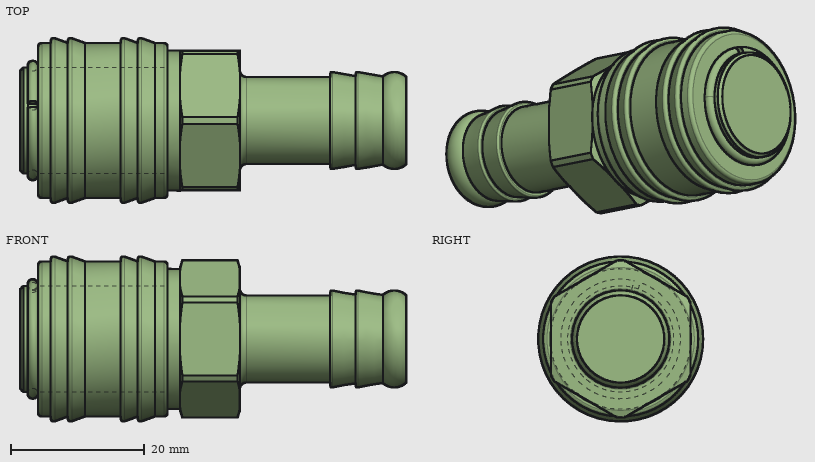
import cadquery as cq
import math


total_length = 58.0
sleeve_front = 2.65
sleeve_rear = 22.15
hex_front = 24.0
hex_rear = 33.0

nose_diameter = 15.95
nose_face_diameter = 14.95
nose_chamfer_length = 0.45
collar_diameter = 21.1
hex_across_flats = 21.0
hex_corner_diameter = 23.65
hex_face_diameter = 21.45
hex_chamfer_length = 0.35
shank_diameter = 13.1
shank_fillet = 1.0

barb_diameter = 14.6
barb_crest_radius = 0.3
barb_slope = math.radians(10)
barb_starts = (46.6, 50.4)
bead_start = 54.4
bead_middle = (bead_start + total_length) / 2

sleeve_diameter = 23.3
sleeve_edge_fillet = 0.6
rib_diameter = 24.8
rib_crest_radius = 0.45
rib_slope = math.radians(20)
rib_pitch = 2.55
rib_pair_starts = (4.6, 15.1)

ring_outer_diameter = 18.0
ring_wire_diameter = 1.55
ring_gap = 0.9
ring_gap_angle = 16.0
ring_radius = (ring_outer_diameter - ring_wire_diameter) / 2
ring_position = sleeve_front - ring_wire_diameter / 2


def revolve_about_x(profile):
    """Close an XY profile (X along the axis, Y radial) and turn it round the X axis."""
    return profile.close().revolve(360, (0, 0, 0), (1, 0, 0))


def make_cylinder(diameter, start, end):
    return cq.Workplane("YZ", origin=(start, 0, 0)).circle(diameter / 2).extrude(end - start)


def make_ring_torus():
    return (
        cq.Workplane("XY")
        .center(ring_position, ring_radius)
        .circle(ring_wire_diameter / 2)
        .revolve(360, (0, -ring_radius, 0), (1, -ring_radius, 0))
    )


def make_rib(start, inner_diameter, base_diameter, outer_diameter, crest_radius, slope):
    """Ring with a steep front, a rounded crest and a cone that falls back to the base diameter."""
    inner_radius = inner_diameter / 2
    base_radius = base_diameter / 2
    crest_center_x = start + crest_radius
    crest_center_radius = outer_diameter / 2 - crest_radius
    cone_start_x = crest_center_x + crest_radius * math.sin(slope)
    cone_start_radius = crest_center_radius + crest_radius * math.cos(slope)
    cone_end_x = cone_start_x + (cone_start_radius - base_radius) / math.tan(slope)
    arc_offset = crest_radius * math.sqrt(0.5)
    return revolve_about_x(
        cq.Workplane("XY")
        .moveTo(start, inner_radius)
        .lineTo(start, crest_center_radius)
        .threePointArc(
            (crest_center_x - arc_offset, crest_center_radius + arc_offset),
            (cone_start_x, cone_start_radius),
        )
        .lineTo(cone_end_x, base_radius)
        .lineTo(cone_end_x, inner_radius)
    )


def make_nose():
    face_radius = nose_face_diameter / 2
    nose_radius = nose_diameter / 2
    return revolve_about_x(
        cq.Workplane("XY")
        .lineTo(0, face_radius)
        .lineTo(nose_chamfer_length, nose_radius)
        .lineTo(sleeve_rear, nose_radius)
        .lineTo(sleeve_rear, 0)
    )


def make_hex():
    """Hexagon with corners up and down, its corners and end edges turned on a lathe."""
    hex_length = hex_rear - hex_front
    across_corners = hex_across_flats / math.cos(math.pi / 6)
    prism = (
        cq.Workplane("YZ", origin=(hex_front, 0, 0))
        .transformed(rotate=(0, 0, 90))
        .polygon(6, across_corners)
        .extrude(hex_length)
    )
    face_radius = hex_face_diameter / 2
    corner_radius = hex_corner_diameter / 2
    turned_envelope = revolve_about_x(
        cq.Workplane("XY")
        .moveTo(hex_front, 0)
        .lineTo(hex_front, face_radius)
        .lineTo(hex_front + hex_chamfer_length, corner_radius)
        .lineTo(hex_rear - hex_chamfer_length, corner_radius)
        .lineTo(hex_rear, face_radius)
        .lineTo(hex_rear, 0)
    )
    return prism.intersect(turned_envelope)


def make_shank():
    """Shank with a filleted root and a rounded end bead."""
    shank_radius = shank_diameter / 2
    fillet_mid_offset = shank_fillet * (1 - math.sqrt(0.5))
    return revolve_about_x(
        cq.Workplane("XY")
        .moveTo(hex_rear, 0)
        .lineTo(hex_rear, shank_radius + shank_fillet)
        .threePointArc(
            (hex_rear + fillet_mid_offset, shank_radius + fillet_mid_offset),
            (hex_rear + shank_fillet, shank_radius),
        )
        .lineTo(bead_start, shank_radius)
        .threePointArc((bead_middle, barb_diameter / 2), (total_length, shank_radius))
        .lineTo(total_length, 0)
    )


def make_hose_tail():
    tail = make_shank()
    for start in barb_starts:
        tail = tail.union(make_rib(start, 0, shank_diameter, barb_diameter, barb_crest_radius, barb_slope))
    return tail


def make_core():
    collar = make_cylinder(collar_diameter, sleeve_rear, hex_front)
    core = make_nose().union(collar).union(make_hex()).union(make_hose_tail())
    return core.cut(make_ring_torus())


def make_sleeve():
    sleeve = make_cylinder(sleeve_diameter, sleeve_front, sleeve_rear).edges().fillet(sleeve_edge_fillet)
    sleeve = sleeve.cut(make_cylinder(nose_diameter, sleeve_front, sleeve_rear))
    for pair_start in rib_pair_starts:
        for start in (pair_start, pair_start + rib_pitch):
            rib = make_rib(start, nose_diameter, sleeve_diameter, rib_diameter, rib_crest_radius, rib_slope)
            sleeve = sleeve.union(rib)
    return sleeve


def make_snap_ring():
    """Round wire ring with a gap near the top, turned from +Z towards +Y."""
    gap_cutter = (
        cq.Workplane("XY")
        .box(2 * ring_wire_diameter, ring_gap, 2 * ring_wire_diameter)
        .translate((ring_position, 0, ring_radius))
        .rotate((0, 0, 0), (1, 0, 0), -ring_gap_angle)
    )
    return make_ring_torus().cut(gap_cutter)


core = make_core()
sleeve = make_sleeve()
snap_ring = make_snap_ring()

result = cq.Compound.makeCompound([core.solids().val(), sleeve.solids().val(), snap_ring.solids().val()])